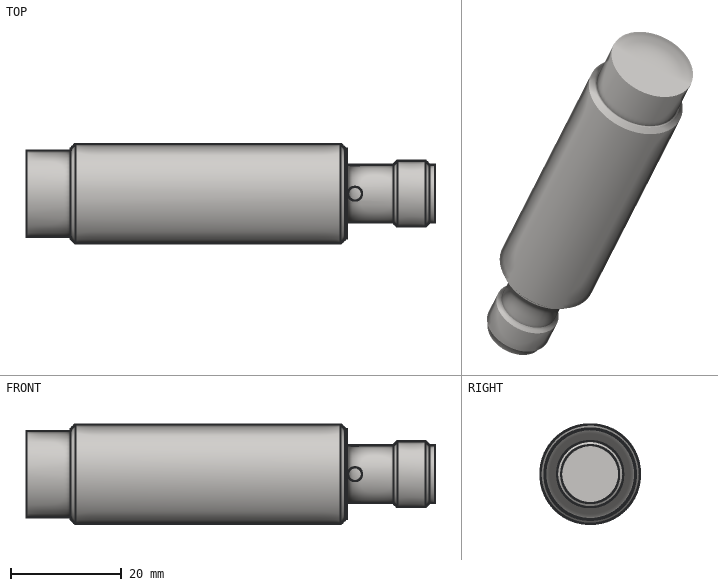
import cadquery as cq

total_length = 73.8
cap_length = 8.0
sleeve_end = 57.5
flange_end = 57.9
collar_start = 66.3
collar_end = 72.8

cap_radius = 7.8
sleeve_radius = 9.0
front_chamfer = 0.9
rear_chamfer = 0.75

flange_radius = 8.1
neck_radius = 5.25
collar_radius = 6.0
collar_chamfer = collar_radius - neck_radius

core_radius = 3.7
window_radius = 1.25
window_x = 59.3


def cylinder(radius, start, end):
    """Round bar along the sensor axis from start to end."""
    return cq.Workplane("YZ", origin=(start, 0, 0)).circle(radius).extrude(end - start)


def make_cap():
    """Round sensing cap that closes the front of the sleeve."""
    return cylinder(cap_radius, 0, cap_length)


def make_sleeve():
    """Main barrel with a chamfer at each end."""
    sleeve = cylinder(sleeve_radius, cap_length, sleeve_end)
    sleeve = sleeve.faces("<X").chamfer(front_chamfer)
    return sleeve.faces(">X").chamfer(rear_chamfer)


def make_windows():
    """Two crossed bars whose four ends follow the round surface of the neck."""
    along_y = cq.Workplane("XZ", origin=(window_x, 0, 0)).circle(window_radius).extrude(neck_radius, both=True)
    along_z = cq.Workplane("XY", origin=(window_x, 0, 0)).circle(window_radius).extrude(neck_radius, both=True)
    neck = cylinder(neck_radius, flange_end, collar_start)
    return along_y.union(along_z).intersect(neck)


def make_carrier():
    """Core with four window studs and a rim that caps the end of the connector."""
    core = cylinder(core_radius, flange_end, collar_end)
    rim = cylinder(neck_radius, collar_end, total_length)
    return core.union(rim).union(make_windows())


def make_connector(carrier):
    """Flange, neck and chamfered collar, hollowed out to fit the carrier."""
    flange = cylinder(flange_radius, sleeve_end, flange_end)
    neck = cylinder(neck_radius, flange_end, collar_end)
    collar = cylinder(collar_radius, collar_start, collar_end).faces("<X or >X").chamfer(collar_chamfer)
    return flange.union(neck).union(collar).cut(carrier)


cap = make_cap()
sleeve = make_sleeve()
carrier = make_carrier()
connector = make_connector(carrier)

bodies = [cap, sleeve, carrier, connector]
result = cq.Compound.makeCompound([body.solids().val() for body in bodies])